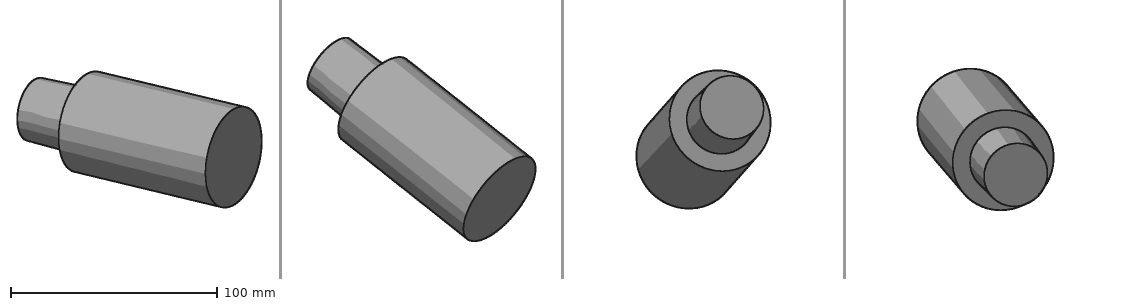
import cadquery as cq

total_length = 115.0
body_diameter = 50.0
spigot_length = 30.0
spigot_tip_diameter = 31.4
spigot_root_diameter = 32.9

body_radius = body_diameter / 2
spigot_tip_radius = spigot_tip_diameter / 2
spigot_root_radius = spigot_root_diameter / 2

half_profile = (
    cq.Workplane("XZ")
    .moveTo(0, 0)
    .lineTo(0, spigot_tip_radius)
    .lineTo(spigot_length, spigot_root_radius)
    .lineTo(spigot_length, body_radius)
    .lineTo(total_length, body_radius)
    .lineTo(total_length, 0)
    .close()
)

result = half_profile.revolve(360, (0, 0, 0), (1, 0, 0))